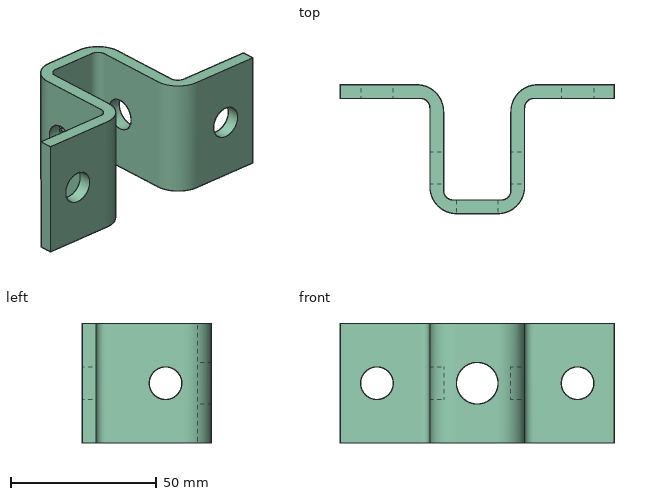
import cadquery as cq

length = 94.5
depth = 44.5
height = 41.3

thickness = 4.8
channel_width = 32.7
outer_bend_radius = 9.35
inner_bend_radius = 3.1

small_hole_diameter = 11.1
web_hole_diameter = 14.3
flange_hole_spacing = 69.05
wall_hole_setback = 28.7

back_y = depth / 2
web_front_y = -depth / 2
web_back_y = web_front_y + thickness
flange_front_y = back_y - thickness
channel_half = channel_width / 2
cavity_half = channel_half - thickness


def block(half_width, front_y, rear_y):
    """Full-height block centred on X, between two Y positions."""
    return (
        cq.Workplane("XY")
        .box(2 * half_width, rear_y - front_y, height)
        .translate((0, (front_y + rear_y) / 2, 0))
    )


def vertical_edges_at(body, half_width, y):
    """Select the pair of upright edges at X = +/- half_width."""
    margin = 0.1
    pair_region = cq.selectors.BoxSelector(
        (-half_width - margin, y - margin, -height),
        (half_width + margin, y + margin, height),
    )
    return body.edges("|Z").edges(pair_region)


def bent_strip():
    """Sharp-cornered hat section, then rounded at every bend."""
    flanges = block(length / 2, flange_front_y, back_y)
    channel = block(channel_half, web_front_y, back_y)
    cavity = block(cavity_half, web_back_y, back_y)
    body = flanges.union(channel).cut(cavity)
    for half_width, y, radius in (
        (channel_half, web_front_y, outer_bend_radius),
        (cavity_half, back_y, outer_bend_radius),
        (cavity_half, web_back_y, inner_bend_radius),
        (channel_half, flange_front_y, inner_bend_radius),
    ):
        body = vertical_edges_at(body, half_width, y).fillet(radius)
    return body


def flange_holes():
    return (
        cq.Workplane("XZ", origin=(0, back_y, 0))
        .rarray(flange_hole_spacing, 0.9, 2, 1)
        .circle(small_hole_diameter / 2)
        .extrude(thickness)
    )


def web_hole():
    """Wider than the flat of the web, so it runs into both front bends."""
    return cq.Workplane("XZ").circle(web_hole_diameter / 2).extrude(depth / 2)


def wall_holes():
    """One straight bore through both side walls of the channel."""
    return (
        cq.Workplane("YZ")
        .center(back_y - wall_hole_setback, 0)
        .circle(small_hole_diameter / 2)
        .extrude(channel_half, both=True)
    )


result = bent_strip().cut(flange_holes()).cut(web_hole()).cut(wall_holes())